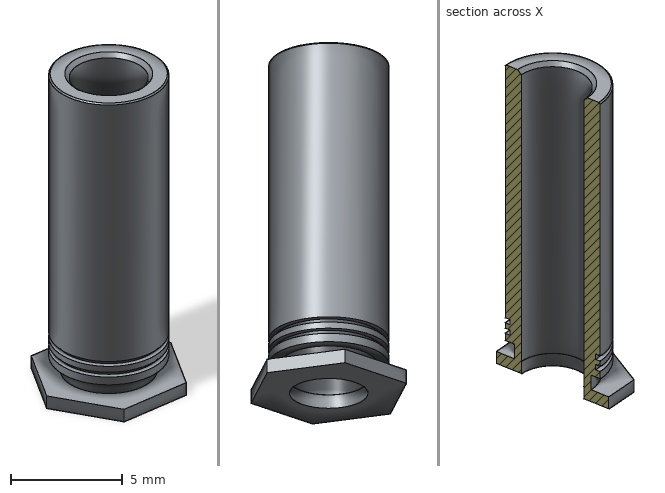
import cadquery as cq
import math

total_length = 15.88
hex_across_flats = 6.35
hex_across_corners = hex_across_flats / math.cos(math.radians(30))
hex_thickness = 0.65

barrel_diameter = 5.38
rim_chamfer = 0.07

neck_diameter = 4.37
neck_height = 0.74

groove_diameter = 4.88
groove_width = 0.25
lower_ring_height = 0.40
middle_ring_height = 0.30

barrel_bore_diameter = 3.53
head_bore_diameter = 3.50
mouth_diameter = 3.93
mouth_depth = 0.20

barrel_base = hex_thickness + neck_height
lower_groove_base = barrel_base + lower_ring_height
upper_groove_base = lower_groove_base + groove_width + middle_ring_height


def cylinder(diameter, base, height):
    """Upright cylinder on the part axis, standing on the level `base`."""
    return cq.Workplane("XY").workplane(offset=base).circle(diameter / 2).extrude(height)


def make_head():
    """Hexagonal head with two flats facing -Y and +Y."""
    return cq.Workplane("XY").polygon(6, hex_across_corners).extrude(hex_thickness)


def make_barrel():
    """Barrel with a chamfered top rim, standing above the neck."""
    barrel = cylinder(barrel_diameter, barrel_base, total_length - barrel_base)
    return barrel.faces(">Z").edges().chamfer(rim_chamfer)


def make_groove(base):
    """Ring of material to remove for one retaining groove."""
    outer = cylinder(barrel_diameter, base, groove_width)
    core = cylinder(groove_diameter, base, groove_width)
    return outer.cut(core)


def make_bore():
    """Stepped through bore with its conical mouth, as a solid to remove."""
    mouth_base = total_length - mouth_depth
    profile = (
        cq.Workplane("XZ")
        .moveTo(0, 0)
        .lineTo(head_bore_diameter / 2, 0)
        .lineTo(head_bore_diameter / 2, hex_thickness)
        .lineTo(barrel_bore_diameter / 2, hex_thickness)
        .lineTo(barrel_bore_diameter / 2, mouth_base)
        .lineTo(mouth_diameter / 2, total_length)
        .lineTo(0, total_length)
        .close()
    )
    return profile.revolve(360, (0, 0, 0), (0, 1, 0))


neck = cylinder(neck_diameter, hex_thickness, neck_height)
result = make_head().union(neck).union(make_barrel())
for groove_base in (lower_groove_base, upper_groove_base):
    result = result.cut(make_groove(groove_base))
result = result.cut(make_bore())